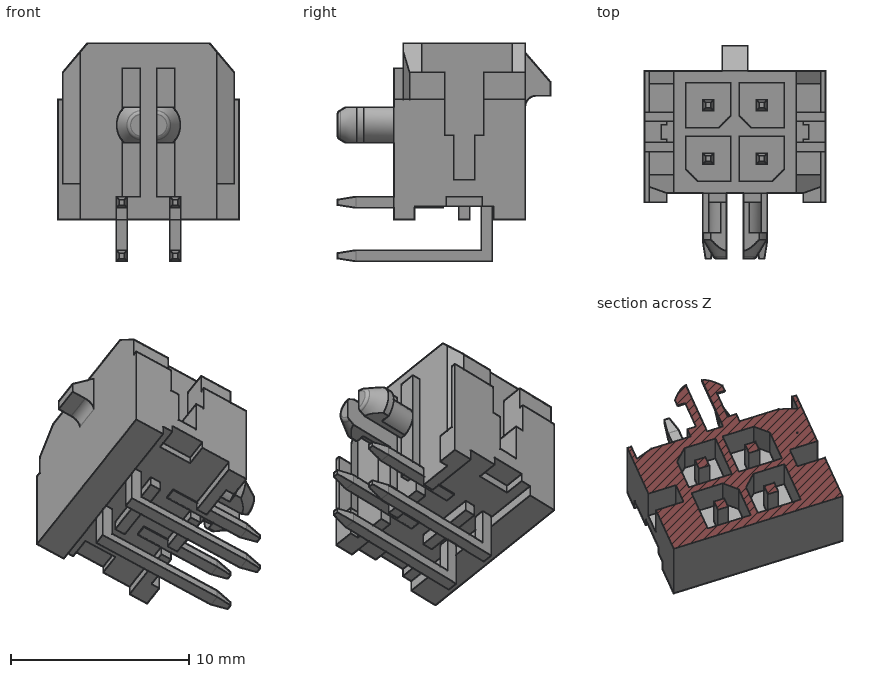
import cadquery as cq


total_width = 10.15
shroud_half_width = 3.43
shroud_depth = 6.85
housing_height = 9.89
shroud_mid_y = shroud_depth / 2

half_width = total_width / 2
wall_inner_x = 3.82
inner_layer_x = 4.81
inner_layer_height = 8.25
skin_height = 6.73
foot_front_y = -0.53
foot_height = 2.0
front_corner_setback = 0.35
front_gusset_depth = 1.03
rear_gusset_depth = 0.73

wide_slot_width = 2.19
wide_slot_floor = 4.74
narrow_slot_width = 1.18
narrow_slot_floor = 2.24
pocket_floor = 1.47
pocket_tongue_width = 0.8
pocket_tongue_x = 4.12

recess_front_y = 0.65
recess_rear_y = 5.05
recess_height = 0.73
wall_notch_width = 2.01

pitch = 3.0
pin_width = 0.64
pin_tip_width = 0.3
pin_taper = 1.03
socket_width = 2.55
socket_chamfer = 0.7
socket_floor = 2.45
pin_top = 7.35
tail_tip_y = -3.68
lower_tail_bottom = -2.35
upper_tail_bottom = lower_tail_bottom + pitch
upper_tail_top = upper_tail_bottom + pin_width
rear_leg_back = 5.01
pin_x = pitch / 2
pin_inner_x = pin_x - pin_width / 2
pin_outer_x = pin_x + pin_width / 2
front_row_y = shroud_mid_y - pitch / 2
rear_row_y = shroud_mid_y + pitch / 2

rib_inner_x = 0.47
rib_outer_x = 1.48
rib_top = 8.48
peg_z = 5.3
peg_half_height = 1.0
peg_axis_x = 0.4
peg_radius = rib_outer_x - peg_axis_x
barb_radius = 1.38
barb_start_y = -2.22
barb_end_y = -2.61
cone_end_y = -3.54
cone_end_radius = 0.82
peg_end_radius = 0.61
peg_tip_rounding = 0.27

latch_width = 1.43
latch_tip_y = 8.26
latch_top = 9.34
latch_tip_top = 7.71
latch_bottom = 6.93
latch_root_radius = 0.59


def block(x0, x1, y0, y1, z0, z1):
    """Box between two opposite corners."""
    return cq.Workplane("XY").box(x1 - x0, y1 - y0, z1 - z0, centered=False).translate((x0, y0, z0))


def centred_block(x0, x1, width, z0, z1):
    """Box of the given Y width, centred on the middle of the shroud."""
    return block(x0, x1, shroud_mid_y - width / 2, shroud_mid_y + width / 2, z0, z1)


def both_sides(solid):
    """The solid together with its mirror image across X = 0."""
    return solid.union(solid.mirror("YZ"))


def gusset(y0, y1):
    """Sloping buttress between the side wall top and the shroud top."""
    return (
        cq.Workplane("XZ", origin=(0, y1, 0))
        .moveTo(shroud_half_width, inner_layer_height)
        .lineTo(inner_layer_x, inner_layer_height)
        .lineTo(shroud_half_width, housing_height)
        .close()
        .extrude(y1 - y0)
    )


def side_wall():
    """Right-hand wall with its gussets, slanted front corner, foot and slot."""
    wall = block(shroud_half_width, inner_layer_x, 0, shroud_depth, 0, inner_layer_height)
    wall = wall.union(gusset(0, front_gusset_depth))
    wall = wall.union(gusset(shroud_depth - rear_gusset_depth, shroud_depth))
    front_corner = (
        cq.Workplane("XY")
        .moveTo(wall_inner_x, 0)
        .lineTo(inner_layer_x, 0)
        .lineTo(inner_layer_x, front_corner_setback)
        .close()
        .extrude(housing_height)
    )
    wall = wall.cut(front_corner)
    wall = wall.union(block(inner_layer_x, half_width, foot_front_y, shroud_depth, 0, skin_height))
    wall = wall.union(block(wall_inner_x, half_width, foot_front_y, recess_front_y, 0, foot_height))

    slot_limits = (shroud_half_width, half_width)
    wall = wall.cut(centred_block(*slot_limits, wide_slot_width, wide_slot_floor, inner_layer_height))
    wall = wall.cut(centred_block(*slot_limits, narrow_slot_width, narrow_slot_floor, wide_slot_floor))
    wall = wall.cut(
        centred_block(shroud_half_width, wall_inner_x, narrow_slot_width, pocket_floor, narrow_slot_floor)
    )
    return wall.cut(
        centred_block(wall_inner_x, pocket_tongue_x, pocket_tongue_width, pocket_floor, narrow_slot_floor)
    )


def front_rib():
    """Upright rib on the front face, right of the centre."""
    return block(rib_inner_x, rib_outer_x, foot_front_y, 0, upper_tail_top, rib_top)


def latch():
    """Ramp with a hooked underside and a rounded root."""
    return (
        cq.Workplane("YZ", origin=(-latch_width / 2, 0, 0))
        .moveTo(shroud_depth, latch_top)
        .lineTo(latch_tip_y, latch_tip_top)
        .lineTo(latch_tip_y, latch_bottom)
        .lineTo(shroud_depth + latch_root_radius, latch_bottom)
        .radiusArc((shroud_depth, latch_bottom - latch_root_radius), -latch_root_radius)
        .close()
        .extrude(latch_width)
    )


def half_peg():
    """Right half of the split peg: a turned profile, flattened and slit."""
    turned = (
        cq.Workplane("XY", origin=(peg_axis_x, 0, peg_z))
        .moveTo(0, 0)
        .lineTo(peg_radius, 0)
        .lineTo(peg_radius, barb_start_y)
        .lineTo(barb_radius, barb_start_y)
        .lineTo(barb_radius, barb_end_y)
        .lineTo(cone_end_radius, cone_end_y)
        .radiusArc((peg_end_radius, tail_tip_y), peg_tip_rounding)
        .lineTo(0, tail_tip_y)
        .close()
        .revolve(360, (0, 0, 0), (0, 1, 0))
    )
    envelope = block(
        rib_inner_x, half_width, tail_tip_y, 0, peg_z - peg_half_height, peg_z + peg_half_height
    )
    return turned.intersect(envelope)


def socket(x, y, chamfered_edge):
    """Socket cavity with one chamfered upright edge."""
    cavity = block(
        x - socket_width / 2, x + socket_width / 2,
        y - socket_width / 2, y + socket_width / 2,
        socket_floor, housing_height,
    )
    return cavity.edges(chamfered_edge).chamfer(socket_chamfer)


def tapered_pin(plane, start, length):
    """Square bar along the plane normal from the start point, with a tapered tip."""
    shank = length - pin_taper
    bar = cq.Workplane(plane, origin=start).rect(pin_width, pin_width).extrude(shank)
    tip = (
        cq.Workplane(plane, origin=start)
        .workplane(offset=shank)
        .rect(pin_width, pin_width)
        .workplane(offset=pin_taper)
        .rect(pin_tip_width, pin_tip_width)
        .loft()
    )
    return bar.union(tip)


def tail(x, start_y, bottom):
    """Solder tail that points out of the front."""
    return tapered_pin("XZ", (x, start_y, bottom + pin_width / 2), start_y - tail_tip_y)


housing = block(-shroud_half_width, shroud_half_width, 0, shroud_depth, 0, housing_height)
housing = housing.union(both_sides(side_wall()))

housing = housing.cut(block(-half_width, half_width, recess_front_y, recess_rear_y, 0, recess_height))
housing = housing.cut(
    both_sides(centred_block(wall_inner_x, half_width, wall_notch_width, recess_height, upper_tail_top))
)
housing = housing.union(centred_block(-pin_outer_x, pin_outer_x, pin_width, 0, recess_height))

housing = housing.cut(
    both_sides(block(pin_inner_x, pin_outer_x, 0, recess_front_y, 0, upper_tail_top))
)

housing = housing.cut(both_sides(socket(pin_x, front_row_y, "|Z and >X and <Y")))
housing = housing.cut(both_sides(socket(pin_x, rear_row_y, "|Z and <X and <Y")))

housing = housing.union(both_sides(front_rib()))
housing = housing.union(both_sides(half_peg()))
housing = housing.union(latch())

pins = tail(pin_x, front_row_y + pin_width / 2, upper_tail_bottom)
pins = pins.union(tail(pin_x, rear_leg_back, lower_tail_bottom))
pins = pins.union(
    block(
        pin_inner_x, pin_outer_x,
        rear_leg_back - pin_width, rear_leg_back,
        lower_tail_bottom, upper_tail_top,
    )
)
for row_y in (front_row_y, rear_row_y):
    pins = pins.union(tapered_pin("XY", (pin_x, row_y, socket_floor), pin_top - socket_floor))

result = housing.union(both_sides(pins))